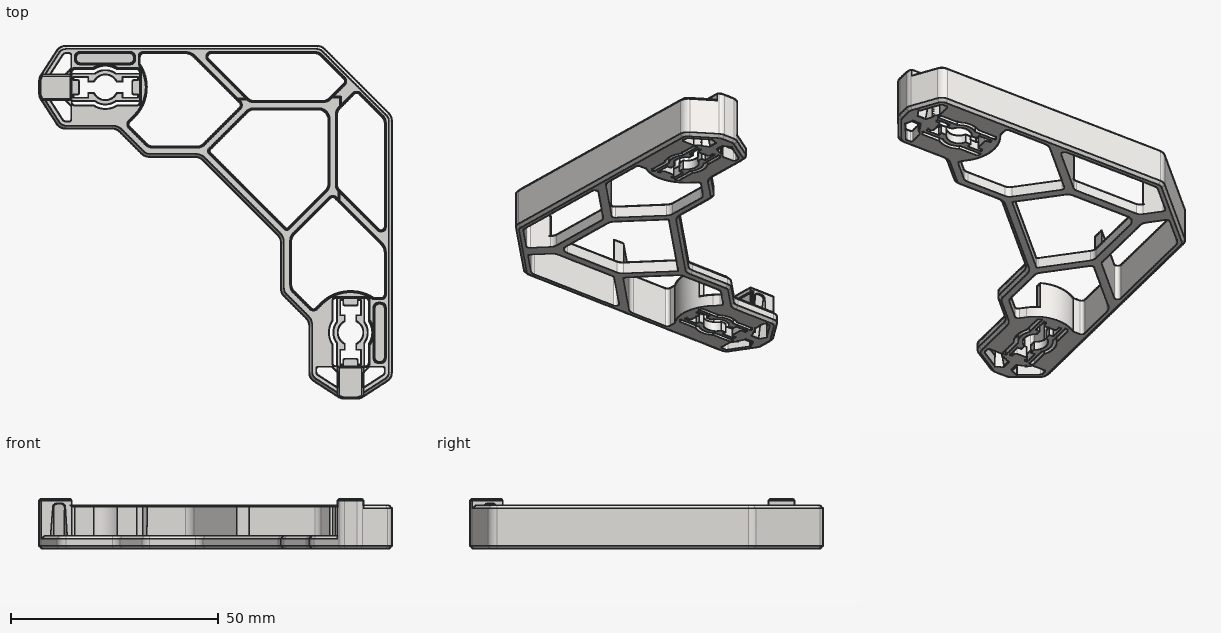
import cadquery as cq
import math

span = 85.0
total_height = 12.1
wall_height = 10.5
base_height = 3.2
clip_height = 2.4

outer_chamfer = 0.8
edge_chamfer = 0.3
past = 0.85

corner_cut = 17.0
arm_width = 20.0
tip_length = 5.0
tip_half_flat = 2.2
outline_radius = 2.55
neck_x = 18.7
neck_drop = 6.8
frame_foot_x = 38.7
frame_foot_y = span - arm_width - neck_drop

wall = 1.8
frame = 2.55
rib = 2.1
corner_rib = 3.5
rib_step_back = 0.25
corner_step_back = 0.7
ring = 70.7
rib_fork = -20.3
rib_brace = 121.1
cell_radius = 2.1
tight_radius = 0.85
brace_radius = 3.0
step_radius = 1.5
ring_radius = 2.4
foot_radius = 0.3

arm_y = span - arm_width / 2
pad_x = 16.0
pad_radius = 10.0
pad_neck_x = 24.3
block_length = 7.9
block_half = 3.15
block_chamfer = 0.4
cavity_end = 24.2
cavity_half = 4.3
cavity_bulge = 5.2
cavity_radius = 0.7
clip_half = 3.3
clip_bulge = 4.2
opening_margin = 0.4
opening_half = 2.5
opening_radius = 3.1
throat_half = 1.4
throat_reach = 4.2
tab_length = 1.8
tab_half = 1.8
tab_radius = 0.5

trough_start = 8.9
trough_end = 22.9
trough_width = 2.4
trough_radius = 1.0
trough_floor = 2.0

window_end = 7.7
window_corner = 1.4
window_radius = 0.4

arch_top = 11.0
arch_foot_start = 2.5
arch_foot_end = 6.8
arch_head_start = 3.4
arch_head_end = 6.3
arch_depth = 2.1
arch_head_depth = 0.25
arch_radius = 1.0
arch_taper = 25


def swapped(points):
    """Points reflected in the line x = y, in reverse order."""
    return [(y, x, r) for x, y, r in reversed(points)]


def crossing(total, difference):
    """Point where x + y = total meets x - y = difference."""
    return (total + difference) / 2, (total - difference) / 2


def rounded_polygon(points, base=cq.Workplane("XY")):
    """Closed polygon from (x, y, corner radius) with arcs in its corners."""
    pieces = []
    for i, (x, y, radius) in enumerate(points):
        corner = cq.Vector(x, y)
        before = (cq.Vector(*points[i - 1][:2]) - corner).normalized()
        after = (cq.Vector(*points[(i + 1) % len(points)][:2]) - corner).normalized()
        half_angle = before.getAngle(after) / 2
        setback = radius / math.tan(half_angle)
        bisector = (before + after).normalized()
        middle = corner + bisector * (radius / math.sin(half_angle) - radius)
        pieces.append([corner + before * setback, middle, corner + after * setback])
    path = base.moveTo(*pieces[0][2].toTuple()[:2])
    for (_, _, radius), (start, middle, end) in zip(points[1:] + points[:1], pieces[1:] + pieces[:1]):
        path = path.lineTo(*start.toTuple()[:2])
        if radius > 0:
            path = path.threePointArc(middle.toTuple()[:2], end.toTuple()[:2])
    return path.close()


def prism(points, bottom, top):
    return rounded_polygon(points).extrude(top - bottom).translate((0, 0, bottom))


def box(x0, x1, y0, y1, z0, z1):
    return cq.Workplane("XY").box(x1 - x0, y1 - y0, z1 - z0, centered=False).translate((x0, y0, z0))


def disc(radius, z0, z1):
    return cq.Workplane("XY").circle(radius).extrude(z1 - z0).translate((pad_x, arm_y, z0))


def mirrored(body):
    return body.mirror(cq.Vector(1, -1, 0))


def flared(cutter, top):
    """Cutter trimmed at the given height and widened there to chamfer the rim it leaves."""
    straight = cutter.intersect(box(-span, 2 * span, -span, 2 * span, -past, top))
    rim = straight.faces(">Z").wires().toPending().workplane().offset2D(edge_chamfer)
    return straight.union(rim.extrude(-edge_chamfer, taper=45))


half_outline = [
    (span - corner_cut, span, outline_radius),
    (tip_length, span, outline_radius),
    (0, arm_y + tip_half_flat, outline_radius),
    (0, arm_y - tip_half_flat, outline_radius),
    (tip_length, span - arm_width, outline_radius),
    (neck_x, span - arm_width, outline_radius),
    (neck_x + neck_drop, frame_foot_y, outline_radius),
    (frame_foot_x, frame_foot_y, outline_radius),
]
outline = half_outline + swapped(half_outline)


def plate(height):
    return prism(outline, 0, height).faces("<Z or >Z").edges().chamfer(outer_chamfer)


diag = math.sqrt(2)
inner_y = span - wall
frame_y = frame_foot_y + frame
frame_sum = frame_foot_x + frame_foot_y + frame * diag
neck_sum = neck_x + span - arm_width + frame * diag
rib_step = rib * diag / 2
tangent = pad_x - arm_y + pad_radius * diag
corner_sum = 2 * span - corner_cut - wall * diag
ring_inner = ring - rib / 2
ring_outer = ring + rib / 2
pad_foot = (pad_x + pad_radius / diag, arm_y - pad_radius / diag)

side_cell = [
    (pad_neck_x, inner_y, tight_radius),
    (pad_neck_x, arm_y, 0),
    (*pad_foot, 0),
    (*crossing(neck_sum, tangent), tight_radius),
    (neck_sum - frame_y, frame_y, cell_radius),
    (frame_y + rib_fork - rib_step, frame_y, cell_radius),
    (*crossing(rib_brace - rib_step, rib_fork - rib_step), tight_radius),
    (rib_brace - rib_step - inner_y, inner_y, brace_radius),
]
corner_step = corner_rib * diag / 2
corner_cell = [
    (rib_brace + rib_step - inner_y, inner_y, tight_radius),
    (rib_brace + rib_step - ring_outer, ring_outer, step_radius),
    (ring_outer - corner_step, ring_outer, cell_radius),
    (*crossing(corner_sum, -corner_step), tight_radius),
    (corner_sum - inner_y, inner_y, cell_radius),
]
half_middle_cell = [
    (ring_inner + rib_fork + rib_step, ring_inner, cell_radius),
    (*crossing(frame_sum, rib_fork + rib_step), foot_radius),
]
middle_cell = half_middle_cell + swapped(half_middle_cell) + [(ring_inner, ring_inner, ring_radius)]


def cells(top):
    side = prism(side_cell, -past, top).cut(disc(pad_radius, -past, top))
    corner = prism(corner_cell, -past, top)
    half = [flared(side, top), flared(corner, top)]
    return half + [mirrored(cell) for cell in half] + [flared(prism(middle_cell, -past, top), top)]


def with_cells(body, top):
    for cell in cells(top):
        body = body.cut(cell, clean=False)
    return body


tall_start = ring_outer + rib_step_back
corner_start = ring_outer + corner_step_back
pad_end = pad_x + pad_radius
half_low = [
    (corner_start, corner_start, 0),
    (ring_outer - corner_rib, corner_start, 0),
    (ring_outer - corner_rib, tall_start, 0),
    (pad_end + past, tall_start, 0),
    (pad_end + past, arm_y - cavity_half, 0),
    (block_length, arm_y - cavity_half, 0),
    (block_length, arm_y, 0),
    (-past, arm_y, 0),
    (-past, -past, 0),
]
low_area = half_low + swapped(half_low)[1:-1]

base = with_cells(plate(base_height), base_height)
walls = with_cells(plate(wall_height), wall_height)
walls = walls.cut(flared(prism(low_area, -past, wall_height), wall_height))


def cavity(z0, z1):
    channel = box(block_length, cavity_end, arm_y - cavity_half, arm_y + cavity_half, z0, z1)
    channel = channel.edges("|Z").fillet(cavity_radius)
    return channel.union(disc(cavity_bulge, z0, z1))


def clip_opening(z0, z1):
    start = block_length + opening_margin
    end = cavity_end - opening_margin
    hole = box(start, end, arm_y - opening_half, arm_y + opening_half, z0, z1)
    for side in (-1, 1):
        lug = box(pad_x - throat_reach, pad_x + throat_reach, throat_half, opening_half + past, z0, z1)
        lug = lug if side > 0 else lug.mirror("XZ")
        hole = hole.cut(lug.translate((0, arm_y, 0)))
    return hole.union(disc(opening_radius, z0, z1))


def slits(z0, z1):
    clip = box(0, span, arm_y - clip_half, arm_y + clip_half, z0, z1).union(disc(clip_bulge, z0, z1))
    return cavity(z0, z1).cut(clip)


def window():
    """Opening between the sloping tip wall and the block, on the +Y side of the arm."""
    side = arm_y + block_half
    slope = (span - arm_y - tip_half_flat) / tip_length
    shift = wall * math.sqrt(1 + 1 / slope ** 2)
    foot_x = (side - arm_y - tip_half_flat) / slope + shift
    head_x = tip_length - wall / slope + shift
    points = [
        (foot_x, side, 0),
        (head_x, inner_y, tight_radius),
        (window_end, inner_y, window_radius),
        (window_end, side + window_corner, 0),
        (window_end - window_corner, side, 0),
    ]
    return prism(points, -past, total_height)


def arch():
    """Recess in the -Y face of the block, deepest at its foot."""
    points = [
        (arch_foot_start, -past, 0),
        (arch_head_start, arch_top, arch_radius),
        (arch_head_end, arch_top, arch_radius),
        (arch_foot_end, base_height, 0),
        (arch_foot_end, -past, 0),
    ]
    profile = rounded_polygon(points, cq.Workplane("XZ")).extrude(-arch_depth, taper=arch_taper)
    sloping_back = [
        (0, -past),
        (arch_depth, -past),
        (arch_depth, 0),
        (arch_head_depth, arch_top),
        (0, arch_top),
    ]
    wedge = cq.Workplane("YZ").polyline(sloping_back).close().extrude(block_length)
    return profile.intersect(wedge).translate((0, arm_y - block_half, 0))


def both_sides(part):
    """The part together with its reflection in the arm's middle plane."""
    return part.union(part.mirror("XZ", (0, arm_y, 0)))


def blocks():
    solid = prism(outline, 0, total_height).faces("<Z").edges().chamfer(outer_chamfer)
    reach = box(0, block_length, arm_y - block_half, arm_y + block_half, 0, total_height)
    solid = solid.intersect(reach.union(mirrored(reach)))
    return solid.faces(">Z").edges().chamfer(block_chamfer)


def tabs():
    left = box(block_length, block_length + tab_length, arm_y - tab_half, arm_y + tab_half, 0, base_height)
    right = box(cavity_end - tab_length, cavity_end, arm_y - tab_half, arm_y + tab_half, 0, base_height)
    return left.edges(">X and |Z").fillet(tab_radius).union(right.edges("<X and |Z").fillet(tab_radius))


def trough():
    points = [
        (trough_start, inner_y, trough_radius),
        (trough_end, inner_y, trough_radius),
        (trough_end, inner_y - trough_width, trough_radius),
        (trough_start, inner_y - trough_width, trough_radius),
    ]
    return prism(points, trough_floor, wall_height)


body = base.union(walls).union(blocks())
cuts = [
    flared(cavity(clip_height, wall_height), wall_height),
    slits(-past, wall_height),
    clip_opening(-past, wall_height),
    both_sides(window()),
    both_sides(arch()),
    flared(trough(), wall_height),
]
for cut in cuts:
    body = body.cut(cut, clean=False).cut(mirrored(cut), clean=False)

result = body.union(tabs()).union(mirrored(tabs()))